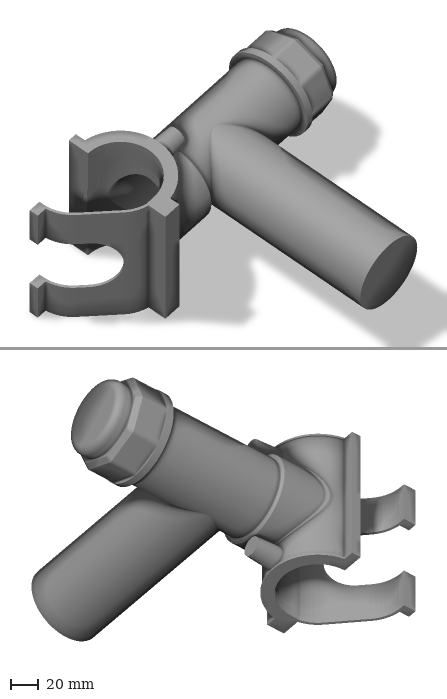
import cadquery as cq
import math


clamp_height = 118.0
clamp_bore_radius = 31.5
flange_half_width = 50.0
flange_thickness = 7.7

saddle_radius = 42.0
panel_depth = 1.0
rim_width = 1.7

pipe_diameter = 64.3
socket_diameter = 71.7
socket_top = 61.0
socket_chamfer = 1.7
socket_overhang = 0.8
bore_diameter = 53.0

branch_diameter = 63.0
branch_y = 95.7
branch_end = 175.0

overall_top = 208.0
collar_diameter = 75.5
collar_bottom = 163.3
nut_bottom = 169.0
nut_top = 195.8
nut_sides = 8
nut_corner_diameter = 75.3
nut_corner_fillet = 5.0
nut_chamfer_height = 4.0
nut_chamfer_inset = 3.3
cap_diameter = 60.5
cap_fillet = 6.0

pin_z = 47.5
pin_tip_y = 61.8
pin_tip_diameter = 16.0
pin_base_diameter = 19.3

strap_bend_radius = math.hypot(clamp_bore_radius, flange_thickness)
strap_thickness = 2.2
strap_run = 35.0
strap_bend = 45
strap_slot_diameter = 50.5
tip_left = -28.5
tip_width = 7.7
tip_end = -67.8


def cylinder_y(diameter, start, end):
    """Cylinder along Y, centred on the main pipe's axis."""
    circle = cq.Workplane("XZ", origin=(0, start, 0)).circle(diameter / 2)
    return circle.extrude(start - end)


def cylinder_z(radius, height):
    """Cylinder along Z, centred on the origin."""
    return cq.Workplane("XY", origin=(0, 0, -height / 2)).circle(radius).extrude(height)


def block(x_min, x_max, y_min, y_max, height):
    """Box given by its limits in X and Y, centred on Z = 0."""
    centre = ((x_min + x_max) / 2, (y_min + y_max) / 2, 0)
    return cq.Workplane("XY", origin=centre).box(x_max - x_min, y_max - y_min, height)


def make_saddle():
    """Half shell with two flanges and a sunk panel between the end rims."""
    rims = cylinder_z(saddle_radius, clamp_height)
    panel = rims.cut(cylinder_z(saddle_radius - panel_depth, clamp_height))
    panel = panel.intersect(cylinder_z(saddle_radius, clamp_height - 2 * rim_width))
    pad = cylinder_y(socket_diameter + 2 * rim_width, 0, saddle_radius)
    shell = rims.cut(panel.cut(pad))
    upper_half = block(-saddle_radius, saddle_radius, 0, saddle_radius, clamp_height)
    flanges = block(-flange_half_width, flange_half_width, 0, flange_thickness, clamp_height)
    return shell.intersect(upper_half).union(flanges)


def make_socket():
    socket = cylinder_y(socket_diameter, -socket_overhang, socket_top)
    return socket.faces(">Y").chamfer(socket_chamfer)


def make_cap_nut():
    """Round collar, octagonal nut with rounded corners, and the domed cap on top."""
    collar = cylinder_y(collar_diameter, collar_bottom, nut_bottom)
    nut = (
        cq.Workplane("XZ", origin=(0, nut_bottom, 0))
        .polygon(nut_sides, nut_corner_diameter)
        .extrude(nut_bottom - nut_top)
        .edges("|Y")
        .fillet(nut_corner_fillet)
    )
    nut = nut.faces(">Y").edges().chamfer(nut_chamfer_height, nut_chamfer_inset)
    cap = cylinder_y(cap_diameter, nut_top, overall_top).faces(">Y").edges().fillet(cap_fillet)
    return collar.union(nut).union(cap)


def make_pin(z):
    """Pin that narrows from inside the saddle wall to its tip."""
    root_y = (clamp_bore_radius + saddle_radius) / 2
    return (
        cq.Workplane("XZ", origin=(0, root_y, z))
        .circle(pin_base_diameter / 2)
        .workplane(offset=root_y - pin_tip_y)
        .circle(pin_tip_diameter / 2)
        .loft()
    )


def make_tee():
    branch = (
        cq.Workplane("YZ", origin=(0, branch_y, 0))
        .circle(branch_diameter / 2)
        .extrude(branch_end)
    )
    tee = make_saddle().union(make_socket())
    tee = tee.union(cylinder_y(pipe_diameter, saddle_radius, collar_bottom))
    tee = tee.union(branch).union(make_cap_nut())
    for z in (-pin_z, pin_z):
        tee = tee.union(make_pin(z))
    tee = tee.cut(cylinder_z(clamp_bore_radius, clamp_height))
    return tee.cut(cylinder_y(bore_diameter, -socket_overhang, socket_top))


def make_strap_band():
    """Thin band: a bend about the origin, a flat run, then a second bend."""
    inner = strap_bend_radius
    outer = inner + strap_thickness
    angle = math.radians(strap_bend)
    run_x = -strap_run * math.sin(angle)
    run_y = -strap_run * math.cos(angle)

    def on_arc(radius, degrees, shift_x=0, shift_y=0):
        turn = math.radians(degrees)
        return (radius * math.cos(turn) + shift_x, -radius * math.sin(turn) + shift_y)

    mid_first = strap_bend / 2
    mid_second = strap_bend * 1.5
    end = strap_bend * 2
    return (
        cq.Workplane("XY", origin=(0, 0, -clamp_height / 2))
        .moveTo(inner, 0)
        .threePointArc(on_arc(inner, mid_first), on_arc(inner, strap_bend))
        .lineTo(*on_arc(inner, strap_bend, run_x, run_y))
        .threePointArc(on_arc(inner, mid_second, run_x, run_y), on_arc(inner, end, run_x, run_y))
        .lineTo(*on_arc(outer, end, run_x, run_y))
        .threePointArc(on_arc(outer, mid_second, run_x, run_y), on_arc(outer, strap_bend, run_x, run_y))
        .lineTo(*on_arc(outer, strap_bend))
        .threePointArc(on_arc(outer, mid_first), (outer, 0))
        .close()
        .extrude(clamp_height)
    )


def make_strap_slot():
    """Slot square to the flat run: round at the start of the run, open at the tip."""
    angle = math.radians(strap_bend)
    start = (strap_bend_radius * math.cos(angle), -strap_bend_radius * math.sin(angle), 0)
    along_run = (-math.sin(angle), -math.cos(angle), 0)
    across_run = (math.cos(angle), -math.sin(angle), 0)
    radius = strap_slot_diameter / 2
    reach = 2 * strap_run
    plane = cq.Plane(origin=start, xDir=along_run, normal=across_run)
    return (
        cq.Workplane(plane)
        .moveTo(reach, radius)
        .lineTo(radius, radius)
        .threePointArc((0, 0), (radius, -radius))
        .lineTo(reach, -radius)
        .close()
        .extrude(clamp_bore_radius, both=True)
    )


def make_strap(tee):
    """Flange that lies against the saddle's right flange, with the band and its tip."""
    flange = block(clamp_bore_radius, flange_half_width, -flange_thickness, 0, clamp_height)
    tip_top = -strap_bend_radius - strap_run * math.cos(math.radians(strap_bend))
    tip = block(tip_left, tip_left + tip_width, tip_end, tip_top, clamp_height)
    strap = flange.union(make_strap_band()).union(tip).cut(make_strap_slot())
    return strap.cut(tee)


tee = make_tee()
strap = make_strap(tee)

result = cq.Compound.makeCompound([tee.solids().val(), strap.solids().val()])